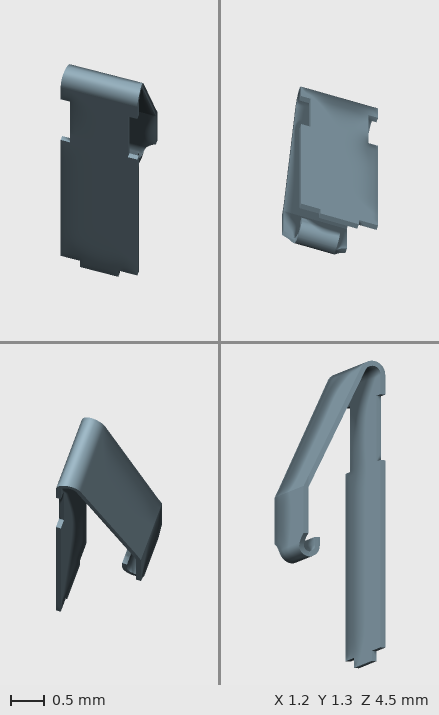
import cadquery as cq
import math

height = 4.5
depth = 1.3
width = 1.2
thickness = 0.075

top_radius = 0.202
knee_z = 2.52
hook_radius = 0.18
hook_bottom_z = 1.5
hook_tip_z = 1.805

leg_width = 0.99
hook_width = 0.605

notch_depth = 0.15
notch_top_z = 4.0
notch_bottom_z = 3.0
tab_width = 0.605
tab_height = 0.155

top_center_y = top_radius
top_center_z = height - top_radius
knee_run = depth - top_center_y
knee_drop = top_center_z - knee_z
knee_distance = math.hypot(knee_run, knee_drop)
arm_normal_angle = math.atan2(-knee_drop, knee_run) + math.acos(top_radius / knee_distance)
knee_miter = thickness * math.tan(arm_normal_angle / 2)

hook_center_y = depth - hook_radius
hook_center_z = hook_bottom_z + hook_radius


def top_bend_point(radius, angle):
    return (top_center_y + radius * math.cos(angle), top_center_z + radius * math.sin(angle))


def strip_outline():
    """Side outline of the folded strip in the YZ plane."""
    inner_top_radius = top_radius - thickness
    inner_hook_radius = hook_radius - thickness
    crown_angle = (math.pi + arm_normal_angle) / 2
    inner_leg_y = depth - thickness
    return (
        cq.Workplane("YZ")
        .moveTo(0, 0)
        .lineTo(0, top_center_z)
        .threePointArc(
            top_bend_point(top_radius, crown_angle),
            top_bend_point(top_radius, arm_normal_angle),
        )
        .lineTo(depth, knee_z)
        .lineTo(depth, hook_center_z)
        .threePointArc(
            (hook_center_y, hook_bottom_z),
            (hook_center_y - hook_radius, hook_center_z),
        )
        .lineTo(hook_center_y - hook_radius, hook_tip_z)
        .lineTo(hook_center_y - inner_hook_radius, hook_tip_z)
        .lineTo(hook_center_y - inner_hook_radius, hook_center_z)
        .threePointArc(
            (hook_center_y, hook_center_z - inner_hook_radius),
            (inner_leg_y, hook_center_z),
        )
        .lineTo(inner_leg_y, knee_z - knee_miter)
        .lineTo(*top_bend_point(inner_top_radius, arm_normal_angle))
        .threePointArc(
            top_bend_point(inner_top_radius, crown_angle),
            (thickness, top_center_z),
        )
        .lineTo(thickness, 0)
        .close()
    )


def plan_envelope():
    """Plan shape that narrows the arm evenly from the back plate to the leg."""
    half_width = width / 2
    half_leg = leg_width / 2
    taper_end_y = depth - thickness
    return (
        cq.Workplane("XY")
        .polyline([
            (-half_width, 0),
            (half_width, 0),
            (half_width, thickness),
            (half_leg, taper_end_y),
            (half_leg, depth),
            (-half_leg, depth),
            (-half_leg, taper_end_y),
            (-half_width, thickness),
        ])
        .close()
        .extrude(height)
    )


def plate_box(x_min, x_max, z_min, z_max):
    """Cutter through the back plate only."""
    return cq.Workplane("XY").box(
        x_max - x_min, thickness, z_max - z_min, centered=False
    ).translate((x_min, 0, z_min))


def hook_side_cutter(side):
    """Narrows one side of the hook, with a concave arc that ends upright at the hook's bottom."""
    half_leg = side * leg_width / 2
    half_hook = side * hook_width / 2
    narrowing = (leg_width - hook_width) / 2
    drop = hook_tip_z - hook_bottom_z
    arc_radius = (drop**2 + narrowing**2) / (2 * narrowing)
    half_sweep = math.asin(drop / arc_radius) / 2
    arc_middle = (
        half_hook + side * arc_radius * (1 - math.cos(half_sweep)),
        hook_bottom_z + arc_radius * math.sin(half_sweep),
    )
    hook_start_y = depth - 2 * hook_radius
    return (
        cq.Workplane("XZ", origin=(0, hook_start_y, 0))
        .moveTo(half_hook, hook_bottom_z)
        .threePointArc(arc_middle, (half_leg, hook_tip_z))
        .lineTo(side * width / 2, hook_tip_z)
        .lineTo(side * width / 2, hook_bottom_z)
        .close()
        .extrude(-2 * hook_radius)
    )


def hook_tip_cutter(side):
    """Keeps the upturned half of the hook at the constant hook width."""
    side_width = (width - hook_width) / 2
    center_x = side * (hook_width + side_width) / 2
    return (
        cq.Workplane("XY", origin=(center_x, hook_center_y - hook_radius / 2, hook_bottom_z))
        .rect(side_width, hook_radius)
        .extrude(hook_tip_z - hook_bottom_z)
    )


result = strip_outline().extrude(width / 2, both=True).intersect(plan_envelope())

for side in (-1, 1):
    edge_x = side * width / 2
    notch_x = sorted((edge_x, edge_x - side * notch_depth))
    foot_x = sorted((edge_x, side * tab_width / 2))
    result = result.cut(plate_box(*notch_x, notch_bottom_z, notch_top_z))
    result = result.cut(plate_box(*foot_x, 0, tab_height))
    result = result.cut(hook_side_cutter(side))
    result = result.cut(hook_tip_cutter(side))